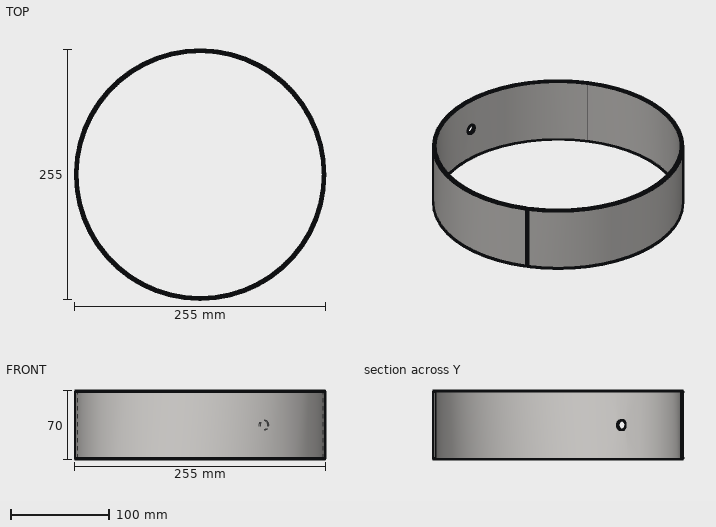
import cadquery as cq

outer_diameter = 255.0
wall = 2.5
height = 70.0
inner_bevel_height = 0.8
inner_bevel_depth = 1.0
outer_bevel_height = 1.5
outer_bevel_depth = 0.65

split_width = 2.0

hole_diameter = 10.0
hole_angle = 59.0
hole_height = height / 2

outer_radius = outer_diameter / 2
inner_radius = outer_radius - wall


def make_ring():
    """Thin ring whose outer and inner edges are bevelled at both ends."""
    profile = (
        cq.Workplane("XZ")
        .moveTo(inner_radius, inner_bevel_height)
        .lineTo(inner_radius + inner_bevel_depth, 0)
        .lineTo(outer_radius - outer_bevel_depth, 0)
        .lineTo(outer_radius, outer_bevel_height)
        .lineTo(outer_radius, height - outer_bevel_height)
        .lineTo(outer_radius - outer_bevel_depth, height)
        .lineTo(inner_radius + inner_bevel_depth, height)
        .lineTo(inner_radius, height - inner_bevel_height)
        .close()
    )
    return profile.revolve(360, (0, 0, 0), (0, 1, 0))


def make_split():
    """Narrow full-height cutter reaching from the axis out past the -X side."""
    return cq.Workplane("XY").box(
        outer_diameter, split_width, height, centered=(True, True, False)
    ).translate((-outer_radius, split_width / 2, 0))


def make_hole():
    """Radial cutter from the ring axis out through one side of the wall."""
    return (
        cq.Workplane("YZ")
        .center(0, hole_height)
        .circle(hole_diameter / 2)
        .extrude(outer_diameter)
        .rotate((0, 0, 0), (0, 0, 1), hole_angle)
    )


result = make_ring().cut(make_split()).cut(make_hole())